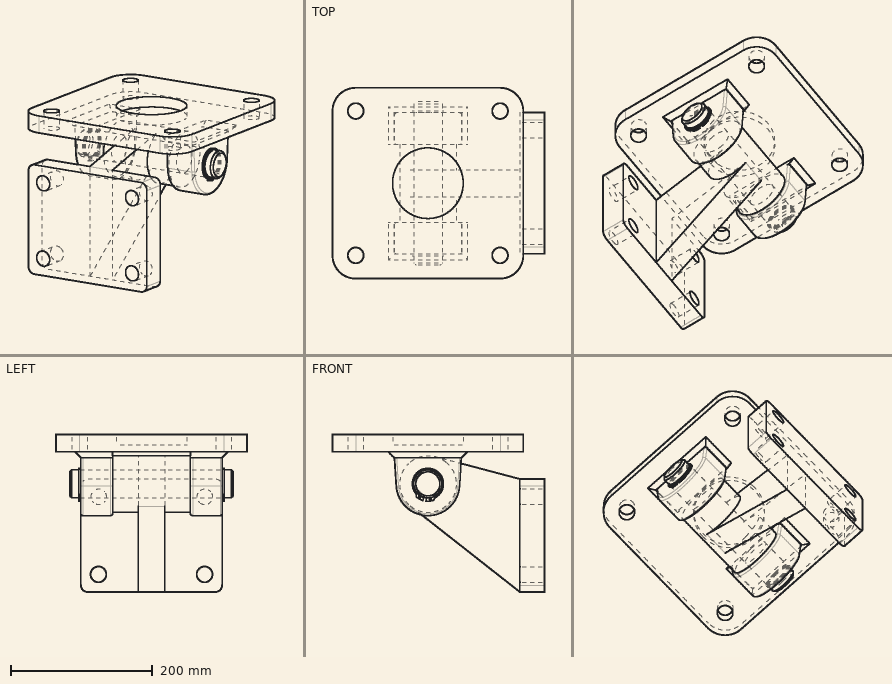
import cadquery as cq
import math


PLATE_SIZE = 270
PLATE_THICKNESS = 25
PLATE_BOTTOM_Z = 45
PLATE_CORNER_RADIUS = 33
PLATE_HOLE_DIAMETER = 22
PLATE_HOLE_SPACING = PLATE_SIZE - 2 * PLATE_CORNER_RADIUS
RECESS_DIAMETER = 100
RECESS_DEPTH = 15

LUG_SPAN = 200
LUG_GAP = 110
LUG_THICKNESS = (LUG_SPAN - LUG_GAP) / 2
LUG_RADIUS = 45
LUG_DRAFT = math.radians(3.6)
LUG_EDGE_FILLET = 3
WELD_LEG = 8
WELD_ANGLE_DEGREES = 45

BRACKET_WIDTH = 200
BRACKET_HEIGHT = 160
BRACKET_THICKNESS = 35
BRACKET_FACE_X = 130
BRACKET_TOP_Z = 7
BRACKET_BOTTOM_Z = BRACKET_TOP_Z - BRACKET_HEIGHT
BRACKET_CORNER_RADIUS = 10
BRACKET_HOLE_DIAMETER = 22
BRACKET_HOLE_EDGE = 25
RIB_THICKNESS = 38
BARREL_RADIUS = 40

PIN_RADIUS = 20
PIN_LENGTH = 231
PIN_CHAMFER = 3
GROOVE_RADIUS = 18.75
RING_THICKNESS = 2.5
RING_RADIUS = 22
EAR_RADIUS = 24.6
EAR_HALF_WIDTH = 17
EAR_SIDE_TAPER = math.radians(11.5)
EAR_HOLE_DIAMETER = 2.5
EAR_HOLE_RADIUS = 21.6
EAR_HOLE_ANGLE = math.radians(20.4)
RING_GAP = 4.4
RING_TURN_DEGREES = 11.5
RING_START_Y = (-LUG_SPAN / 2 - RING_THICKNESS, LUG_SPAN / 2)


def y_cylinder(radius, y_start, y_end):
    """Cylinder on the hinge axis between two Y positions."""
    plane = cq.Workplane("XZ", origin=(0, y_start, 0))
    return plane.circle(radius).extrude(y_start - y_end)


def lug_half_width(z):
    """Half the lug width in X on the drafted sides at height z."""
    return LUG_RADIUS / math.cos(LUG_DRAFT) + z * math.tan(LUG_DRAFT)


def make_lug():
    """Lug on the -Y side: drafted sides running tangent into a round lower end."""
    tangent_x = LUG_RADIUS * math.cos(LUG_DRAFT)
    tangent_z = -LUG_RADIUS * math.sin(LUG_DRAFT)
    top_x = lug_half_width(PLATE_BOTTOM_Z)
    lug = (
        cq.Workplane("XZ", origin=(0, -LUG_GAP / 2, 0))
        .moveTo(-top_x, PLATE_BOTTOM_Z)
        .lineTo(-tangent_x, tangent_z)
        .threePointArc((0, -LUG_RADIUS), (tangent_x, tangent_z))
        .lineTo(top_x, PLATE_BOTTOM_Z)
        .close()
        .extrude(LUG_THICKNESS)
    )
    lug = lug.faces("<Y or >Y").edges("not >Z").fillet(LUG_EDGE_FILLET)
    return lug.union(make_weld())


def make_weld():
    """45 degree weld bead round the three outer sides of a lug, flush with its inner face."""
    base_half = lug_half_width(PLATE_BOTTOM_Z) + WELD_LEG
    base_outer_y = -LUG_SPAN / 2 - WELD_LEG
    base_length = 2 * (-LUG_GAP / 2 - base_outer_y)
    inner_face = cq.Workplane("XY", origin=(0, -LUG_GAP / 2, PLATE_BOTTOM_Z))
    bead = inner_face.rect(2 * base_half, base_length).extrude(-WELD_LEG, taper=WELD_ANGLE_DEGREES)
    inner_half = (
        inner_face.center(0, base_length / 2)
        .rect(2 * base_half, base_length)
        .extrude(-WELD_LEG)
    )
    return bead.cut(inner_half)


def make_top_plate():
    """Mounting plate with a blind recess, four holes and two bored lugs."""
    plate = (
        cq.Workplane("XY", origin=(0, 0, PLATE_BOTTOM_Z))
        .rect(PLATE_SIZE, PLATE_SIZE)
        .extrude(PLATE_THICKNESS)
        .edges("|Z")
        .fillet(PLATE_CORNER_RADIUS)
        .faces(">Z")
        .workplane()
        .rect(PLATE_HOLE_SPACING, PLATE_HOLE_SPACING, forConstruction=True)
        .vertices()
        .hole(PLATE_HOLE_DIAMETER)
        .faces(">Z")
        .workplane()
        .hole(RECESS_DIAMETER, RECESS_DEPTH)
    )
    lug = make_lug()
    plate = plate.union(lug).union(lug.mirror("XZ"))
    return plate.cut(y_cylinder(PIN_RADIUS, -LUG_SPAN / 2, LUG_SPAN / 2))


def barrel_tangent_point(x, z, side):
    """Point where a line from (x, z) touches the barrel; side is +1 for the top, -1 for the bottom."""
    angle = math.atan2(z, x) + side * math.acos(BARREL_RADIUS / math.hypot(x, z))
    return (BARREL_RADIUS * math.cos(angle), BARREL_RADIUS * math.sin(angle))


def make_bracket():
    """Wall plate joined to the hinge barrel by a rib tangent to the barrel."""
    hole_spacing_y = BRACKET_WIDTH - 2 * BRACKET_HOLE_EDGE
    hole_spacing_z = BRACKET_HEIGHT - 2 * BRACKET_HOLE_EDGE
    middle_z = (BRACKET_TOP_Z + BRACKET_BOTTOM_Z) / 2
    wall_plate = (
        cq.Workplane("YZ", origin=(BRACKET_FACE_X, 0, middle_z))
        .rect(BRACKET_WIDTH, BRACKET_HEIGHT)
        .extrude(BRACKET_THICKNESS)
        .edges("|X")
        .fillet(BRACKET_CORNER_RADIUS)
        .faces(">X")
        .workplane()
        .rect(hole_spacing_y, hole_spacing_z, forConstruction=True)
        .vertices()
        .hole(BRACKET_HOLE_DIAMETER)
    )
    rib = (
        cq.Workplane("XZ")
        .moveTo(BRACKET_FACE_X, BRACKET_TOP_Z)
        .lineTo(*barrel_tangent_point(BRACKET_FACE_X, BRACKET_TOP_Z, 1))
        .lineTo(0, 0)
        .lineTo(*barrel_tangent_point(BRACKET_FACE_X, BRACKET_BOTTOM_Z, -1))
        .lineTo(BRACKET_FACE_X, BRACKET_BOTTOM_Z)
        .close()
        .extrude(RIB_THICKNESS / 2, both=True)
    )
    barrel = y_cylinder(BARREL_RADIUS, -LUG_GAP / 2, LUG_GAP / 2)
    bore = y_cylinder(PIN_RADIUS, -LUG_GAP / 2, LUG_GAP / 2)
    return wall_plate.union(rib).union(barrel).cut(bore)


def make_pin():
    """Chamfered pin with a ring groove just outside each lug."""
    pin = y_cylinder(PIN_RADIUS, -PIN_LENGTH / 2, PIN_LENGTH / 2)
    pin = pin.faces("<Y or >Y").chamfer(PIN_CHAMFER)
    for groove_y in RING_START_Y:
        groove = y_cylinder(PIN_RADIUS, groove_y, groove_y + RING_THICKNESS)
        core = y_cylinder(GROOVE_RADIUS, groove_y, groove_y + RING_THICKNESS)
        pin = pin.cut(groove.cut(core))
    return pin


def make_ring(start_y):
    """Retaining ring with a gap at the bottom and a drilled ear on each side of it."""
    end_y = start_y + RING_THICKNESS
    tip_half_width = EAR_HALF_WIDTH - EAR_RADIUS * math.tan(EAR_SIDE_TAPER)
    ear_zone = (
        cq.Workplane("XZ", origin=(0, start_y, 0))
        .moveTo(-EAR_HALF_WIDTH, 0)
        .lineTo(EAR_HALF_WIDTH, 0)
        .lineTo(tip_half_width, -EAR_RADIUS)
        .lineTo(-tip_half_width, -EAR_RADIUS)
        .close()
        .extrude(-RING_THICKNESS)
    )
    gap = (
        cq.Workplane("XZ", origin=(0, start_y, -EAR_RADIUS / 2))
        .rect(RING_GAP, EAR_RADIUS)
        .extrude(-RING_THICKNESS)
    )
    hole_x = EAR_HOLE_RADIUS * math.sin(EAR_HOLE_ANGLE)
    hole_z = -EAR_HOLE_RADIUS * math.cos(EAR_HOLE_ANGLE)
    ear_holes = (
        cq.Workplane("XZ", origin=(0, start_y, 0))
        .pushPoints([(-hole_x, hole_z), (hole_x, hole_z)])
        .circle(EAR_HOLE_DIAMETER / 2)
        .extrude(-RING_THICKNESS)
    )
    ears = y_cylinder(EAR_RADIUS, start_y, end_y).intersect(ear_zone)
    ring = y_cylinder(RING_RADIUS, start_y, end_y).union(ears)
    ring = ring.cut(y_cylinder(GROOVE_RADIUS, start_y, end_y)).cut(gap).cut(ear_holes)
    return ring.rotate((0, 0, 0), (0, 1, 0), RING_TURN_DEGREES)


top_plate = make_top_plate()
bracket = make_bracket()
pin = make_pin()
rings = [make_ring(start_y) for start_y in RING_START_Y]

result = cq.Compound.makeCompound(
    [top_plate.val(), bracket.val(), pin.val()] + [ring.val() for ring in rings]
)